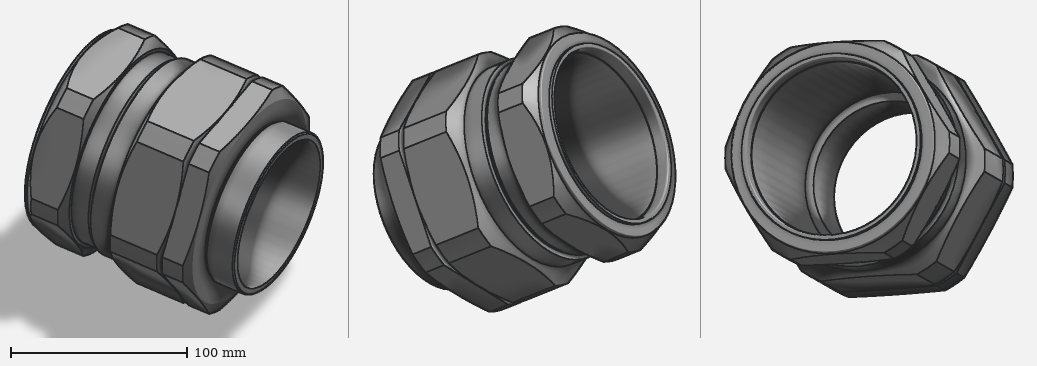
import cadquery as cq
import math


LIP_END = 2.1
NUT_FACE = 4.2
NUT_END = 32.0
COLLAR_END = 44.8
FLANGE_START = 46.0
BODY_START = 58.8
BODY_END = 98.9
ADAPTER_END = 114.6
THREAD_START = 116.5
TOTAL_LENGTH = 134.2

LIP_RADIUS = 53.9
RING_RADIUS = 61.2
COLLAR_RADIUS = 58.6
NECK_RADIUS = 57.1
FLANGE_RADIUS = 60.5
RELIEF_RADIUS = 48.6
THREAD_RADIUS = 49.7

RING_FILLET = 1.1
COLLAR_CHAMFER = COLLAR_RADIUS - NECK_RADIUS
RELIEF_CHAMFER = THREAD_RADIUS - RELIEF_RADIUS
THREAD_CHAMFER = 0.8

NUT_FLATS = 122.9
NUT_CORNERS = 135.2
BODY_FLATS = 127.0
BODY_CORNERS = 139.6

NUT_FRONT_CONE = 6.4
NUT_BACK_CONE = 3.6
NUT_BACK_RADIUS = 60.9
BODY_FRONT_CONE = 5.7
BODY_BACK_CONE = 3.5
BODY_BACK_RADIUS = 63.4
ADAPTER_BACK_CONE = 2.2
ADAPTER_BACK_RADIUS = 62.5

MOUTH_RADIUS = 51.0
MOUTH_DEPTH = 7.8
MOUTH_FILLET = 1.4
SLEEVE_RADIUS = 50.5
SLEEVE_DEPTH = BODY_END
BORE_RADIUS = 45.5


def revolve(points):
    """Solid turned about X from the (station, radius) points of its outer profile."""
    start = points[0][0]
    end = points[-1][0]
    profile = [(start, 0)] + points + [(end, 0)]
    return cq.Workplane("XY").polyline(profile).close().revolve(360, (0, 0, 0), (1, 0, 0))


def cylinder(start, end, radius):
    """Round bar along X between two stations."""
    return revolve([(start, radius), (end, radius)])


def hexagon(start, end, flats, turned_profile):
    """Hexagonal prism with flats facing +Z and -Z, its corners turned to a profile."""
    across_points = flats / math.cos(math.pi / 6)
    prism = cq.Workplane("YZ", origin=(start, 0, 0)).polygon(6, across_points).extrude(end - start)
    return prism.intersect(revolve(turned_profile))


def make_round_sections():
    """Entry lip and ring, grooved collar and flange, and the connection thread."""
    lip = cylinder(0, NUT_FACE, LIP_RADIUS)
    ring = cylinder(LIP_END, NUT_FACE, RING_RADIUS).faces("<X").edges().fillet(RING_FILLET)
    core = revolve(
        [
            (NUT_FACE, COLLAR_RADIUS),
            (COLLAR_END - COLLAR_CHAMFER, COLLAR_RADIUS),
            (COLLAR_END, NECK_RADIUS),
            (FLANGE_START, NECK_RADIUS),
            (FLANGE_START, FLANGE_RADIUS),
            (BODY_START, FLANGE_RADIUS),
            (BODY_START, RELIEF_RADIUS),
            (THREAD_START - RELIEF_CHAMFER, RELIEF_RADIUS),
            (THREAD_START, THREAD_RADIUS),
            (TOTAL_LENGTH - THREAD_CHAMFER, THREAD_RADIUS),
            (TOTAL_LENGTH, THREAD_RADIUS - THREAD_CHAMFER),
        ]
    )
    return core.union(lip).union(ring)


def make_nut():
    """Clamping nut, coned at both ends."""
    profile = [
        (NUT_FACE, RING_RADIUS),
        (NUT_FACE + NUT_FRONT_CONE, NUT_CORNERS / 2),
        (NUT_END - NUT_BACK_CONE, NUT_CORNERS / 2),
        (NUT_END, NUT_BACK_RADIUS),
    ]
    return hexagon(NUT_FACE, NUT_END, NUT_FLATS, profile)


def make_body():
    """Main body, coned at both ends."""
    profile = [
        (BODY_START, FLANGE_RADIUS),
        (BODY_START + BODY_FRONT_CONE, BODY_CORNERS / 2),
        (BODY_END - BODY_BACK_CONE, BODY_CORNERS / 2),
        (BODY_END, BODY_BACK_RADIUS),
    ]
    return hexagon(BODY_START, BODY_END, BODY_FLATS, profile)


def make_adapter():
    """Hexagon against the back of the body, coned only on its thread side."""
    profile = [
        (BODY_END, BODY_CORNERS / 2),
        (ADAPTER_END - ADAPTER_BACK_CONE, BODY_CORNERS / 2),
        (ADAPTER_END, ADAPTER_BACK_RADIUS),
    ]
    return hexagon(BODY_END, ADAPTER_END, BODY_FLATS, profile)


def make_bore():
    """Stepped bore through the whole length."""
    return revolve(
        [
            (0, MOUTH_RADIUS),
            (MOUTH_DEPTH, MOUTH_RADIUS),
            (MOUTH_DEPTH, SLEEVE_RADIUS),
            (SLEEVE_DEPTH, SLEEVE_RADIUS),
            (SLEEVE_DEPTH, BORE_RADIUS),
            (TOTAL_LENGTH, BORE_RADIUS),
        ]
    )


outside = make_round_sections().union(make_nut()).union(make_body()).union(make_adapter())
gland = outside.cut(make_bore())

mouth_edge = cq.selectors.RadiusNthSelector(0)
result = gland.faces("<X").edges(mouth_edge).fillet(MOUTH_FILLET)